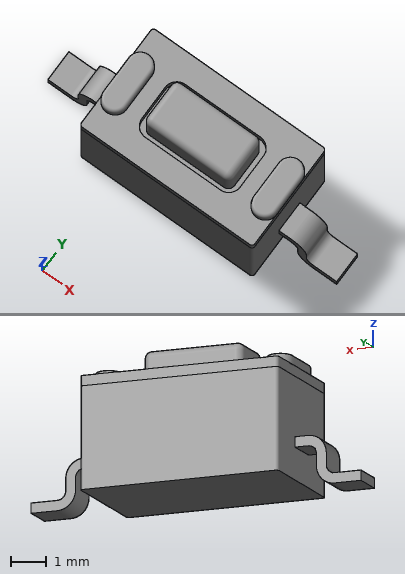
import cadquery as cq

overall_length = 10.0
body_length = 6.0
body_width = 3.5
body_corner_radius = 0.1

housing_bottom = 0.2
cover_bottom = 3.2
cover_top = 3.5
boss_top = 3.8
button_top = 4.3

button_length = 3.0
button_width = 1.53
button_edge_radius = 0.21
window_length = 3.4
window_width = 1.9
window_corner_radius = 0.4

boss_length = 2.0
boss_width = 0.8
boss_edge_radius = 0.1
boss_center_x = (body_length - boss_width) / 2

lead_width = 1.0
lead_thickness = 0.3
lead_top = 1.45
bend_inner_radius = 0.25
bend_outer_radius = bend_inner_radius + lead_thickness
foot_flat_length = 0.8


def rounded_block(length, width, bottom, top, corner_radius):
    """Block centred on the Z axis, with rounded vertical edges."""
    return (
        cq.Workplane("XY", origin=(0, 0, bottom))
        .rect(length, width)
        .extrude(top - bottom)
        .edges("|Z")
        .fillet(corner_radius)
    )


def make_housing():
    return rounded_block(body_length, body_width, housing_bottom, cover_bottom, body_corner_radius)


def make_cover():
    """Cover plate with a through window for the button."""
    plate = rounded_block(body_length, body_width, cover_bottom, cover_top, body_corner_radius)
    window = rounded_block(window_length, window_width, cover_bottom, cover_top, window_corner_radius)
    return plate.cut(window)


def make_button():
    """Button standing on the housing inside the cover window."""
    block = rounded_block(button_length, button_width, cover_bottom, button_top, button_edge_radius)
    return block.faces(">Z").edges().fillet(button_edge_radius)


def make_boss(side):
    """Slot-shaped boss on the cover; side is -1 or +1 along X."""
    return (
        cq.Workplane("XY", origin=(side * boss_center_x, 0, cover_top))
        .slot2D(boss_length, boss_width, 90)
        .extrude(boss_top - cover_top)
        .faces(">Z")
        .edges()
        .fillet(boss_edge_radius)
    )


def make_lead(side):
    """S-bent strip from the housing end face down to its foot; side is -1 or +1 along X."""
    tip_x = overall_length / 2
    lower_bend_x = tip_x - foot_flat_length
    upper_bend_x = lower_bend_x - bend_inner_radius - bend_outer_radius
    root_x = body_length / 2
    lower_bend_z = bend_outer_radius
    upper_bend_z = lead_top - bend_outer_radius
    outer_x = lower_bend_x - bend_inner_radius
    inner_x = lower_bend_x - bend_outer_radius

    def point(x, z):
        return (side * x, z)

    def tangent_arc(path, x, z):
        return path.tangentArcPoint(point(x, z), relative=False)

    path = cq.Workplane("XZ").moveTo(*point(root_x, lead_top)).lineTo(*point(upper_bend_x, lead_top))
    path = tangent_arc(path, outer_x, upper_bend_z)
    path = path.lineTo(*point(outer_x, lower_bend_z))
    path = tangent_arc(path, lower_bend_x, lead_thickness)
    path = path.lineTo(*point(tip_x, lead_thickness)).lineTo(*point(tip_x, 0))
    path = path.lineTo(*point(lower_bend_x, 0))
    path = tangent_arc(path, inner_x, lower_bend_z)
    path = path.lineTo(*point(inner_x, upper_bend_z))
    path = tangent_arc(path, upper_bend_x, lead_top - lead_thickness)
    path = path.lineTo(*point(root_x, lead_top - lead_thickness)).close()
    return path.extrude(lead_width / 2, both=True)


housing = make_housing()
cover = make_cover()
button = make_button()
bosses = [make_boss(side) for side in (-1, 1)]
leads = [make_lead(side) for side in (-1, 1)]

result = cq.Compound.makeCompound(
    [body.val() for body in (housing, cover, button, *bosses, *leads)]
)